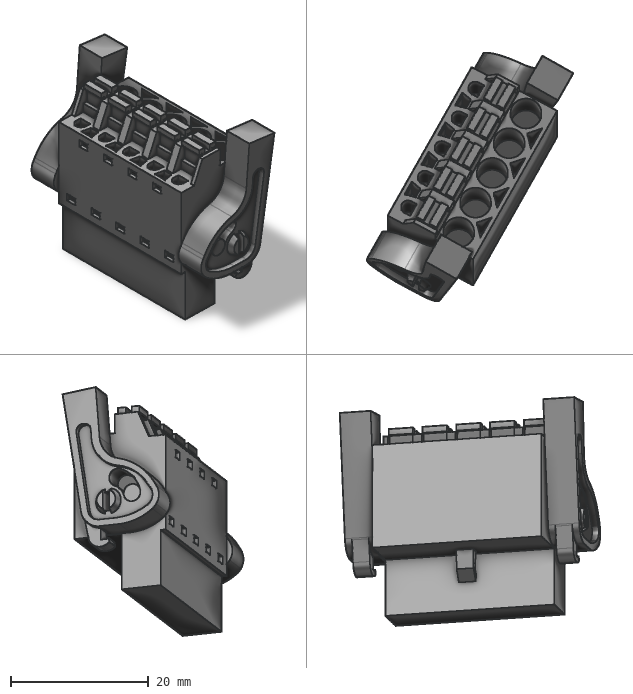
import cadquery as cq
import math

overall_width = 35.22
pole_count = 5
housing_width = 25.4
pitch = housing_width / pole_count
lever_width = 4.65
lever_inner_x = overall_width / 2 - lever_width
housing_side_x = housing_width / 2

housing_depth = 14.15
housing_bottom = 8.38
front_top = 22.75
back_top = 23.77
tower_top = 26.65
tower_back_y = 7.9
tower_front_y = 4.3
slope_foot_y = 2.6
plug_front_y = 0.77
plug_back_y = 6.8

channel_width = 3.77
channel_floor = 24.25

opening_depth = 7.05
bore_radius = 2.25
bore_y = 10.4
triangle_half_width = 1.73
triangle_base_y = 13.52
triangle_apex_y = 11.97
wire_width = 2.0
wire_back_y = 2.9
wire_front_y = 1.0
wedge_back_y = 2.25
wedge_front_y = 0.65
wedge_back_width = 1.48
wedge_front_width = 2.15
window_height = 1.15
window_depth = wedge_front_y
upper_window_width = 1.7
upper_window_z = 21.05
lower_window_width = 1.75
lower_window_z = 10.3

pivot_y = 7.4
pivot_z = 12.33
pivot_radius = 1.48
head_base_radius = 1.95
head_tip_radius = 1.45
head_slit_width = 1.0
guide_y = 3.75
guide_z = 13.25
guide_radius = 1.3

recess_depth = 1.0
head_height = recess_depth
recess_floor_x = overall_width / 2 - recess_depth
guide_sweep = 54.0
hook_width = 2.55
back_edge_foot = (11.27, 10.8)

button_width = 3.63
button_top = 27.8
rail_bottom = 26.87
groove_floor = 26.75
stem_front_y = 5.0
stem_back_y = 7.05
button_front_y = 4.35
button_back_y = 7.68
groove_front_y = 5.53
groove_back_y = 6.48

pole_xs = [(i - (pole_count - 1) / 2) * pitch for i in range(pole_count)]
between_xs = [x + pitch / 2 for x in pole_xs[:-1]]


def side_plane(x):
    """Workplane facing +X whose local axes are Y and Z."""
    return cq.Workplane("YZ", origin=(x, 0, 0))


def box(x_range, y_range, z_range):
    size = [high - low for low, high in (x_range, y_range, z_range)]
    corner = (x_range[0], y_range[0], z_range[0])
    return cq.Workplane("XY", origin=corner).box(*size, centered=False)


def housing_block():
    body = (
        side_plane(-housing_side_x)
        .moveTo(0, housing_bottom)
        .lineTo(0, front_top)
        .lineTo(slope_foot_y, front_top)
        .lineTo(tower_front_y, tower_top)
        .lineTo(tower_back_y, tower_top)
        .lineTo(tower_back_y, back_top)
        .lineTo(housing_depth, back_top)
        .lineTo(housing_depth, housing_bottom)
        .close()
        .extrude(housing_width)
    )
    sides = (-housing_side_x, housing_side_x)
    return body.union(box(sides, (plug_front_y, plug_back_y), (0, housing_bottom)))


def latch():
    """Barbed latch hanging from the underside, behind the plug."""
    return (
        side_plane(-hook_width / 2)
        .moveTo(7.95, housing_bottom)
        .lineTo(8.6, 6.5)
        .lineTo(8.5, 5.53)
        .lineTo(7.9, 4.9)
        .lineTo(8.25, 3.87)
        .lineTo(9.47, 5.55)
        .lineTo(9.7, housing_bottom)
        .close()
        .extrude(hook_width)
    )


def channel(x):
    """Stepped channel that carries one button."""
    x_range = (x - channel_width / 2, x + channel_width / 2)
    upper = box(x_range, (0, tower_back_y), (channel_floor, tower_top))
    lower = box(x_range, (0, tower_front_y), (front_top, channel_floor))
    return upper.union(lower)


def pole_openings(x):
    """Round bore, wire entry and lower front window of one pole."""
    bore = cq.Workplane("XY", origin=(x, bore_y, back_top)).circle(bore_radius).extrude(-opening_depth)
    half = wire_width / 2
    wire_entry = (
        cq.Workplane("XY", origin=(x, 0, front_top))
        .moveTo(-half, wire_back_y)
        .lineTo(-half, wire_front_y + half)
        .threePointArc((0, wire_front_y), (half, wire_front_y + half))
        .lineTo(half, wire_back_y)
        .close()
        .extrude(-opening_depth)
    )
    return bore.union(wire_entry).union(front_window(x, lower_window_z, lower_window_width))


def front_window(x, z, width):
    z_range = (z - window_height / 2, z + window_height / 2)
    return box((x - width / 2, x + width / 2), (0, window_depth), z_range)


def between_openings(x):
    """Triangular hole, wedge hole and upper front window between two poles."""
    triangle = (
        cq.Workplane("XY", origin=(x, 0, back_top))
        .moveTo(-triangle_half_width, triangle_base_y)
        .lineTo(triangle_half_width, triangle_base_y)
        .lineTo(0, triangle_apex_y)
        .close()
        .extrude(-opening_depth)
    )
    wedge = (
        cq.Workplane("XY", origin=(x, 0, front_top))
        .moveTo(-wedge_back_width / 2, wedge_back_y)
        .lineTo(wedge_back_width / 2, wedge_back_y)
        .lineTo(wedge_front_width / 2, wedge_front_y)
        .lineTo(-wedge_front_width / 2, wedge_front_y)
        .close()
        .extrude(-opening_depth)
    )
    return triangle.union(wedge).union(front_window(x, upper_window_z, upper_window_width))


def side_pins():
    """Split snap pivot and plain guide pin on the +X side."""
    pin_length = recess_floor_x - housing_side_x
    start = side_plane(housing_side_x)
    pivot = start.center(pivot_y, pivot_z).circle(pivot_radius).extrude(pin_length)
    taper = math.degrees(math.atan((head_base_radius - head_tip_radius) / head_height))
    head = (
        side_plane(recess_floor_x)
        .center(pivot_y, pivot_z)
        .circle(head_base_radius)
        .extrude(head_height, taper=taper)
    )
    slit = box(
        (lever_inner_x, overall_width / 2),
        (pivot_y - head_slit_width / 2, pivot_y + head_slit_width / 2),
        (pivot_z - head_base_radius, pivot_z + head_base_radius),
    )
    guide = side_plane(housing_side_x).center(guide_y, guide_z).circle(guide_radius).extrude(pin_length)
    return pivot.union(head).cut(slit).union(guide)


def make_housing():
    body = housing_block().union(latch())
    for x in pole_xs:
        body = body.cut(channel(x)).cut(pole_openings(x))
    for x in between_xs:
        body = body.cut(between_openings(x))
    pins = side_pins()
    return body.union(pins).union(pins.mirror("YZ"))


def lever_plate():
    return (
        side_plane(lever_inner_x)
        .moveTo(housing_depth, 28.95)
        .lineTo(*back_edge_foot)
        .tangentArcPoint((8.45, housing_bottom), relative=False)
        .lineTo(5.35, housing_bottom)
        .tangentArcPoint((0.2, 10.18), relative=False)
        .tangentArcPoint((-0.4, 10.85), relative=False)
        .tangentArcPoint((-0.4, 13.63), relative=False)
        .lineTo(-0.1, 14.12)
        .tangentArcPoint((5.45, 18.35), relative=False)
        .tangentArcPoint((8.4, 21.87), relative=False)
        .lineTo(9.0, 29.5)
        .close()
        .extrude(lever_width)
    )


def lever_recess():
    return (
        side_plane(recess_floor_x)
        .moveTo(12.0, 22.9)
        .lineTo(10.25, 11.0)
        .tangentArcPoint((8.45, 9.37), relative=False)
        .lineTo(6.0, 9.37)
        .tangentArcPoint((1.02, 10.8), relative=False)
        .tangentArcPoint((0.3, 13.03), relative=False)
        .lineTo(1.35, 14.5)
        .tangentArcPoint((5.7, 17.33), relative=False)
        .tangentArcPoint((9.65, 21.65), relative=False)
        .lineTo(9.75, 23.07)
        .threePointArc((11.02, 24.15), (12.0, 22.9))
        .close()
        .extrude(recess_depth)
    )


def guide_slot():
    """Curved slot around the pivot, starting at the guide pin."""
    arm_y = guide_y - pivot_y
    arm_z = guide_z - pivot_z
    path_radius = math.hypot(arm_y, arm_z)
    start_angle = math.atan2(arm_z, arm_y)
    sweep = math.radians(guide_sweep)

    def polar(radius, turn):
        angle = start_angle - turn
        return pivot_y + radius * math.cos(angle), pivot_z + radius * math.sin(angle)

    inner = path_radius - guide_radius
    outer = path_radius + guide_radius
    end_radius = math.hypot(path_radius, guide_radius)
    end_turn = math.atan(guide_radius / path_radius)
    return (
        side_plane(lever_inner_x)
        .moveTo(*polar(outer, 0))
        .threePointArc(polar(outer, sweep / 2), polar(outer, sweep))
        .threePointArc(polar(end_radius, sweep + end_turn), polar(inner, sweep))
        .threePointArc(polar(inner, sweep / 2), polar(inner, 0))
        .threePointArc(polar(end_radius, -end_turn), polar(outer, 0))
        .close()
        .extrude(lever_width)
    )


def lever_hook():
    """Curled hook below the lever, centred in its width."""
    return (
        side_plane(lever_inner_x + (lever_width - hook_width) / 2)
        .moveTo(*back_edge_foot)
        .lineTo(10.55, 7.33)
        .threePointArc((10.0, 6.1), (8.7, 5.6))
        .threePointArc((7.92, 5.75), (7.3, 6.15))
        .lineTo(7.4, 6.75)
        .lineTo(7.65, 6.75)
        .lineTo(7.75, 6.62)
        .lineTo(8.63, 6.62)
        .lineTo(8.63, back_edge_foot[1])
        .close()
        .extrude(hook_width)
        .cut(lever_recess())
    )


def make_lever():
    """Lever on the +X side."""
    pivot_hole = side_plane(lever_inner_x).center(pivot_y, pivot_z).circle(pivot_radius).extrude(lever_width)
    return lever_plate().union(lever_hook()).cut(lever_recess()).cut(pivot_hole).cut(guide_slot())


def make_button(x):
    """Push button: a stem with two rails across a groove."""
    x_range = (x - button_width / 2, x + button_width / 2)
    stem = box(x_range, (stem_front_y, stem_back_y), (channel_floor, rail_bottom))
    rails = box(x_range, (button_front_y, button_back_y), (rail_bottom, button_top))
    groove = box(x_range, (groove_front_y, groove_back_y), (groove_floor, button_top))
    return stem.union(rails).cut(groove)


housing = make_housing()
right_lever = make_lever()
levers = [right_lever, right_lever.mirror("YZ")]
buttons = [make_button(x) for x in pole_xs]

result = cq.Compound.makeCompound([body.val() for body in [housing, *levers, *buttons]])